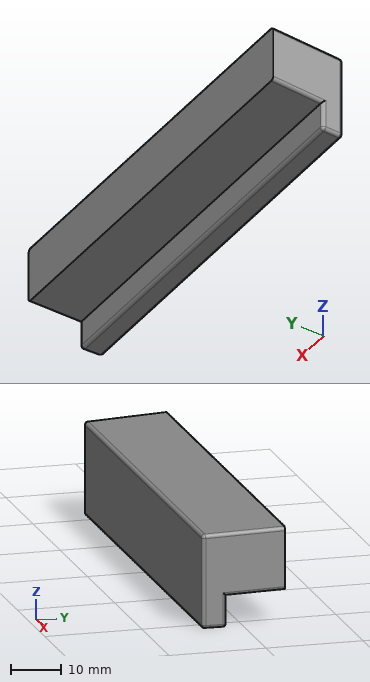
import cadquery as cq
import math

length = 88.0
depth = 17.0
height = 20.0
block_height = 13.0
lip_thickness = 5.0
draft_angle = 2.0
edge_radius = 0.75

slope = math.tan(math.radians(draft_angle))
front_y = -depth
lip_back_y = front_y + lip_thickness
underside_back_z = height - block_height
underside_front_z = underside_back_z - slope * (depth - lip_thickness)
top_front_z = height - slope * depth
half_length_back = length / 2
half_length_front = half_length_back - slope * depth


def side_profile():
    """L-shaped cross-section, extruded along the full length."""
    return (
        cq.Workplane("YZ")
        .moveTo(0, height)
        .lineTo(front_y, top_front_z)
        .lineTo(front_y, 0)
        .lineTo(lip_back_y, 0)
        .lineTo(lip_back_y, underside_front_z)
        .lineTo(0, underside_back_z)
        .close()
        .extrude(half_length_back, both=True)
    )


def plan_wedge():
    """Trapezoid seen from above that gives both ends their draft."""
    return (
        cq.Workplane("XY")
        .moveTo(-half_length_back, 0)
        .lineTo(half_length_back, 0)
        .lineTo(half_length_front, front_y)
        .lineTo(-half_length_front, front_y)
        .close()
        .extrude(height)
    )


def make_grip():
    """Drafted grip with rounded outer edges; back edges and the inner corner stay sharp."""
    body = side_profile().intersect(plan_wedge())
    back_edges = cq.selectors.BoxSelector(
        (-length, -edge_radius, -height), (length, edge_radius, 2 * height)
    )
    inner_corner = cq.selectors.NearestToPointSelector((0, lip_back_y, underside_front_z))
    sharp_edges = cq.selectors.SumSelector(back_edges, inner_corner)
    return body.edges(cq.selectors.InverseSelector(sharp_edges)).fillet(edge_radius)


grip = make_grip()
result = cq.Compound.makeCompound([grip.val()])